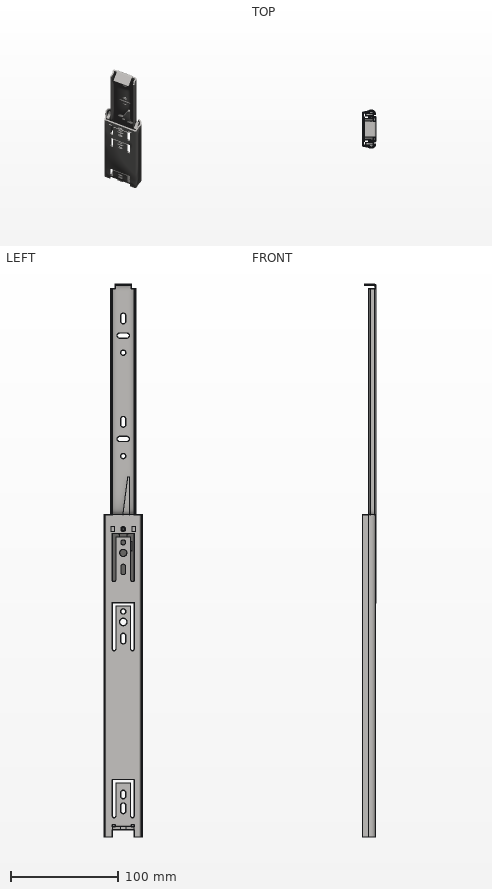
import cadquery as cq
import math


SHEET = 1.25
TOTAL_LENGTH = 515.0
TOTAL_DEPTH = 13.0

OUTER_LENGTH = 300.0
OUTER_WIDTH = 35.5
OUTER_CORNER = 1.3
FLANGE_SLOPE = 12.0
TRACK_X = 8.0
TRACK_RADIUS = 4.0
TRACK_Y = OUTER_WIDTH / 2 - TRACK_RADIUS
TRACK_START = 37.0

INNER_BOTTOM = 218.0
INNER_TOP = 511.0
INNER_HALF_WIDTH = 12.0
INNER_LEFT = 5.5
INNER_CORNER = 1.5
GROOVE_DEPTH = 0.5
GROOVE_FROM_X = 6.0
GROOVE_TO_X = TOTAL_DEPTH - INNER_CORNER
INNER_WEB_X = TOTAL_DEPTH - SHEET

STOP_WIDTH = 15.0
STOP_LEFT = 2.0
STOP_BEND_RADIUS = 2.0

HOLE = 4.5
LARGE_HOLE = 6.5
LONG_SLOT = 10.0
SHORT_SLOT = 7.5

GROUP_TOPS = (483.0, 387.0)
GROUP_PITCH = 16.0
CROSS_SLOT = 11.5

TONGUE_SLOT = 3.0
TONGUE_OUTSIDE = 20.0
LONG_TONGUE = 45.0
SHORT_TONGUE = 35.5
UPPER_TONGUE_TOP = 282.5
MIDDLE_TONGUE_TOP = 218.5
LOWER_TONGUE_TOP = 53.5
ROUND_DROP = 8.0
LARGE_DROP = 18.0
SLOT_DROP = 33.5
LOWER_SLOTS = ((39.5, SHORT_SLOT), (27.0, LONG_SLOT))

DIMPLE_WIDTH = 3.0
DIMPLE_HEIGHT = 4.9
DIMPLE_DEPTH = 0.6
DIMPLE_Y = 10.0

NOTCH_WIDTH = 20.0
TAB_WIDTH = 15.0
TAB_REACH = 8.0
BEND_RADIUS = 1.5
BEND_Z = 11.5
BUMPER_BOTTOM = 6.5
BUMPER_LEFT = 1.0
BUMPER_RIGHT = 10.5
NUB_WIDTH = 5.0

PIVOT_Z = 287.0
LEVER_THICKNESS = 1.8
LEVER_X = INNER_WEB_X - LEVER_THICKNESS
HUB_RADIUS = 6.0
PIN_DIAMETER = 2.5
PIN_LEFT = 9.0
LEVER_TIP_Z = 335.5
LEVER_TIP_RIGHT = -5.5
LEVER_TIP_LEFT = -4.0
LEVER_ROOT_LEFT = 2.0
STEM_HALF_WIDTH = 3.35
STEM_BOTTOM = 270.0
FOOT_TOP = 275.5
FOOT_BOTTOM = 266.0
FOOT_Y = -8.0

RETAINER_LEFT = 3.0
RETAINER_RIGHT = 10.5
RETAINER_INSIDE = 12.5
RETAINER_OUTSIDE = 15.0
RETAINER_TOP = 296.0


def box(x0, x1, y0, y1, z0, z1):
    """Block between the given limits."""
    return cq.Workplane("XY").box(x1 - x0, y1 - y0, z1 - z0, centered=False).translate((x0, y0, z0))


def centred_box(x0, x1, width, z0, z1):
    """Block lying symmetrically about Y = 0."""
    return box(x0, x1, -width / 2, width / 2, z0, z1)


def round_cutter(diameter, z):
    """Bar along X for a round hole through a web."""
    return (
        cq.Workplane("YZ").center(0, z).circle(diameter / 2).extrude(TOTAL_DEPTH + SHEET)
        .translate((-SHEET, 0, 0))
    )


def slot_cutter(length, z, angle=90):
    """Bar along X for a round-ended slot through a web; 90 degrees is upright."""
    return (
        cq.Workplane("YZ").center(0, z).slot2D(length, HOLE, angle).extrude(TOTAL_DEPTH + SHEET)
        .translate((-SHEET, 0, 0))
    )


def tube(outline, length):
    """Closed tube of sheet thickness whose outside follows the outline."""
    outside = outline.val()
    inside = outside.offset2D(-SHEET)
    return cq.Workplane(cq.Solid.extrudeLinear(outside, inside, cq.Vector(0, 0, length)))



def track_point(angle):
    """Point of the +Y ball track, its angle in degrees measured from the crest towards +X."""
    turn = math.radians(angle)
    return TRACK_X + TRACK_RADIUS * math.sin(turn), TRACK_Y + TRACK_RADIUS * math.cos(turn)


def mirrored(point):
    return point[0], -point[1]


def outer_channel():
    """Full-length channel of the outer rail."""
    track_start = track_point(-TRACK_START)
    crest = track_point(0)
    lip = track_point(90)
    corner_y = track_start[1] - (track_start[0] - OUTER_CORNER) * math.tan(math.radians(FLANGE_SLOPE))
    corner = (OUTER_CORNER, corner_y)
    corner_middle = (OUTER_CORNER * (1 - math.sqrt(0.5)), corner_y - OUTER_CORNER * (1 - math.sqrt(0.5)))
    web_end = (0, corner_y - OUTER_CORNER)
    outline = (
        cq.Workplane("XY").moveTo(*mirrored(web_end)).lineTo(*web_end)
        .threePointArc(corner_middle, corner).lineTo(*track_start)
        .threePointArc(crest, lip).lineTo(*mirrored(lip))
        .threePointArc(mirrored(crest), mirrored(track_start)).lineTo(*mirrored(corner))
        .threePointArc(mirrored(corner_middle), mirrored(web_end)).close()
    )
    mouth = centred_box(TRACK_X, TOTAL_DEPTH, 2 * TRACK_Y, 0, OUTER_LENGTH)
    return tube(outline, OUTER_LENGTH).cut(mouth)


def tongue_cutter(top, length):
    """U-shaped slot that frees a tongue in the outer web; its two legs end in half circles."""
    leg_end = top - length + TONGUE_SLOT / 2
    leg_y = (TONGUE_OUTSIDE - TONGUE_SLOT) / 2
    tongue_width = TONGUE_OUTSIDE - 2 * TONGUE_SLOT
    cutter = centred_box(0, SHEET, TONGUE_OUTSIDE, leg_end, top)
    cutter = cutter.cut(centred_box(0, SHEET, tongue_width, leg_end, top - TONGUE_SLOT))
    for y in (-leg_y, leg_y):
        round_end = cq.Workplane("YZ").center(y, leg_end).circle(TONGUE_SLOT / 2).extrude(SHEET)
        cutter = cutter.union(round_end)
    return cutter


def dimple_block(left, y):
    """Block of one dimple, reaching one dimple depth towards +X from the given place."""
    block = centred_box(left, left + DIMPLE_DEPTH, DIMPLE_WIDTH, -DIMPLE_HEIGHT / 2, DIMPLE_HEIGHT / 2)
    return block.translate((0, y, PIVOT_Z))


def folded_tab():
    """Tab bent from the bottom of the outer web towards +X."""
    bend = (
        cq.Workplane("XZ").moveTo(0, BEND_Z)
        .radiusArc((BEND_RADIUS, BEND_Z - BEND_RADIUS), -BEND_RADIUS)
        .lineTo(TAB_REACH, BEND_Z - BEND_RADIUS).lineTo(TAB_REACH, BEND_Z - BEND_RADIUS + SHEET)
        .lineTo(BEND_RADIUS, BEND_Z - BEND_RADIUS + SHEET)
        .radiusArc((SHEET, BEND_Z), BEND_RADIUS - SHEET).close()
    )
    return bend.extrude(TAB_WIDTH / 2, both=True)


def make_outer_rail():
    rail = outer_channel()
    for top, length in (
        (UPPER_TONGUE_TOP, LONG_TONGUE),
        (MIDDLE_TONGUE_TOP, LONG_TONGUE),
        (LOWER_TONGUE_TOP, SHORT_TONGUE),
    ):
        rail = rail.cut(tongue_cutter(top, length))
    for top in (UPPER_TONGUE_TOP, MIDDLE_TONGUE_TOP):
        rail = rail.cut(round_cutter(HOLE, top - ROUND_DROP))
        rail = rail.cut(round_cutter(LARGE_HOLE, top - LARGE_DROP))
        rail = rail.cut(slot_cutter(LONG_SLOT, top - SLOT_DROP))
    for z, length in LOWER_SLOTS:
        rail = rail.cut(slot_cutter(length, z))
    rail = rail.cut(round_cutter(HOLE, PIVOT_Z))
    for y in (-DIMPLE_Y, DIMPLE_Y):
        rail = rail.union(dimple_block(SHEET, y)).cut(dimple_block(0, y))
    rail = rail.cut(centred_box(0, SHEET, NOTCH_WIDTH, 0, BEND_Z))
    return rail.union(folded_tab())



def inner_channel():
    """Channel of the inner rail, open towards -X."""
    groove_middle = (GROOVE_FROM_X + GROOVE_TO_X) / 2
    groove_floor = INNER_HALF_WIDTH - GROOVE_DEPTH
    outline = (
        cq.Workplane("XY").workplane(offset=INNER_BOTTOM)
        .moveTo(INNER_LEFT, -INNER_HALF_WIDTH).lineTo(INNER_LEFT, INNER_HALF_WIDTH)
        .lineTo(GROOVE_FROM_X, INNER_HALF_WIDTH)
        .threePointArc((groove_middle, groove_floor), (GROOVE_TO_X, INNER_HALF_WIDTH))
        .radiusArc((TOTAL_DEPTH, INNER_HALF_WIDTH - INNER_CORNER), INNER_CORNER)
        .lineTo(TOTAL_DEPTH, INNER_CORNER - INNER_HALF_WIDTH)
        .radiusArc((GROOVE_TO_X, -INNER_HALF_WIDTH), INNER_CORNER)
        .threePointArc((groove_middle, -groove_floor), (GROOVE_FROM_X, -INNER_HALF_WIDTH))
        .close()
    )
    mouth_width = 2 * (INNER_HALF_WIDTH - SHEET)
    mouth = centred_box(INNER_LEFT, GROOVE_FROM_X + SHEET, mouth_width, INNER_BOTTOM, INNER_TOP)
    return tube(outline, INNER_TOP - INNER_BOTTOM).cut(mouth)


def end_stop():
    """Tongue that rises from the inner web and folds over towards -X."""
    underside = TOTAL_LENGTH - SHEET
    bend_x = TOTAL_DEPTH - STOP_BEND_RADIUS
    bend_z = TOTAL_LENGTH - STOP_BEND_RADIUS
    profile = (
        cq.Workplane("XZ").moveTo(TOTAL_DEPTH, INNER_TOP).lineTo(TOTAL_DEPTH, bend_z)
        .radiusArc((bend_x, TOTAL_LENGTH), -STOP_BEND_RADIUS).lineTo(STOP_LEFT, TOTAL_LENGTH)
        .lineTo(STOP_LEFT, underside).lineTo(bend_x, underside)
        .radiusArc((INNER_WEB_X, bend_z), STOP_BEND_RADIUS - SHEET).lineTo(INNER_WEB_X, INNER_TOP)
        .close()
    )
    return profile.extrude(STOP_WIDTH / 2, both=True)


def make_inner_rail():
    rail = inner_channel()
    for top in GROUP_TOPS:
        rail = rail.cut(slot_cutter(LONG_SLOT, top))
        rail = rail.cut(slot_cutter(CROSS_SLOT, top - GROUP_PITCH, 0))
        rail = rail.cut(round_cutter(HOLE, top - 2 * GROUP_PITCH))
    return rail.union(end_stop())



def make_lever():
    """Flat lever: a slim arm above a round hub, and below it a stem with a foot to one side."""
    plane = cq.Workplane("YZ").workplane(offset=LEVER_X)
    hub = plane.center(0, PIVOT_Z).circle(HUB_RADIUS).extrude(LEVER_THICKNESS)
    arm = (
        plane.moveTo(LEVER_TIP_RIGHT, PIVOT_Z).lineTo(LEVER_TIP_RIGHT, LEVER_TIP_Z)
        .lineTo(LEVER_TIP_LEFT, LEVER_TIP_Z).lineTo(LEVER_ROOT_LEFT, PIVOT_Z)
        .close().extrude(LEVER_THICKNESS)
    )
    stem = (
        plane.moveTo(STEM_HALF_WIDTH, PIVOT_Z).lineTo(-STEM_HALF_WIDTH, PIVOT_Z)
        .lineTo(-STEM_HALF_WIDTH, FOOT_TOP).lineTo(FOOT_Y, FOOT_TOP).lineTo(FOOT_Y, FOOT_BOTTOM)
        .lineTo(-STEM_HALF_WIDTH, STEM_BOTTOM).lineTo(STEM_HALF_WIDTH, STEM_BOTTOM)
        .close().extrude(LEVER_THICKNESS)
    )
    return hub.union(arm).union(stem).cut(round_cutter(PIN_DIAMETER, PIVOT_Z))


def make_pivot_pin():
    plane = cq.Workplane("YZ").workplane(offset=PIN_LEFT)
    return plane.center(0, PIVOT_Z).circle(PIN_DIAMETER / 2).extrude(INNER_WEB_X - PIN_LEFT)


def make_bumper():
    """Block that fills the notch below the folded tab, with a nub in the middle."""
    top = BEND_Z - BEND_RADIUS
    block = centred_box(BUMPER_LEFT, BUMPER_RIGHT, NOTCH_WIDTH, BUMPER_BOTTOM, top)
    return block.union(centred_box(0, BUMPER_LEFT, NUB_WIDTH, BUMPER_BOTTOM, top))


def make_retainer(side):
    """Straight strip in the ball channel on the given side of Y = 0."""
    near, far = sorted((side * RETAINER_INSIDE, side * RETAINER_OUTSIDE))
    return box(RETAINER_LEFT, RETAINER_RIGHT, near, far, INNER_BOTTOM, RETAINER_TOP)


outer_rail = make_outer_rail()
inner_rail = make_inner_rail()
lever = make_lever()
pivot_pin = make_pivot_pin()
bumper = make_bumper()
retainers = [make_retainer(side) for side in (-1, 1)]

result = cq.Compound.makeCompound([
    outer_rail.val(),
    inner_rail.val(),
    lever.val(),
    pivot_pin.val(),
    bumper.val(),
    *[retainer.val() for retainer in retainers],
])